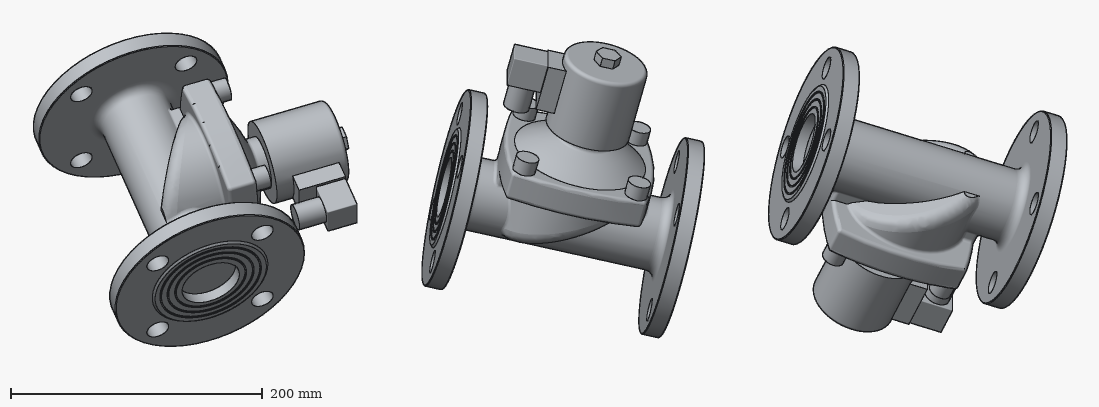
import cadquery as cq
import math


total_length = 195.0
total_depth = 228.2
pipe_radius = 29.5
flange_diameter = 160.0
flange_radius = flange_diameter / 2
flange_thickness = 14.2
flange_edge_chamfer = 0.7
neck_fillet = 8.0
raised_face_height = 1.5
raised_face_base_radius = 48.8
raised_face_tip_radius = 47.0
port_radius = 24.2
port_depth = 9.1
groove_radii = (29.7, 36.0, 42.2)
groove_width = 1.1
groove_depth = 0.7
flange_hole_radius = 9.1
flange_hole_spacing = 88.3

plate_bottom = 30.5
plate_top = 54.5
plate_corner = 54.8
plate_bulge = 61.5
plate_corner_fillet = 2.7
plate_edge_fillet = 3.2

body_radius = 53.6
body_lowest = -18.5
slant_angle = 30.8
slant_height_at_axis = 0.8
body_rim_fillet = 10.0

rib_half_width = 20.0
rib_corner_fillet = 2.7

joint_fillet = 2.5
rib_blend_start = 45.6
body_blend_start = 41.0

bonnet_mid_radius = 36.5
bonnet_mid_height = 64.0
bonnet_top = 69.6
bonnet_neck_radius = 21.5
bonnet_neck_fillet = 2.5
coil_radius = 34.0
coil_bottom = 79.0
coil_top = 140.5
coil_edge_fillet = 3.2
nut_across_corners = 20.5
nut_top = total_depth - flange_radius

bolt_radius = 9.1
bolt_spacing = 91.5
bolt_top = 66.5

connector_top = 132.5
base_end = 45.6
base_bottom = 93.4
base_half_width = 14.4
plug_end = 73.3
plug_bottom = 107.7
plug_half_width = 12.5
plug_edge_fillet = 0.7
gland_centre = 59.8
gland_radius = 10.5
gland_bottom = 85.0

plate_inside = plate_bottom + plate_edge_fillet

select_margin = 0.11

half_length = total_length / 2
flange_face = half_length - raised_face_height
flange_back = flange_face - flange_thickness


def box(x0, x1, y0, y1, half_width):
    """Block centred on Z = 0 between the given X and Y limits."""
    return (
        cq.Workplane("XY", origin=(0, 0, -half_width))
        .moveTo(x0, y0)
        .lineTo(x1, y0)
        .lineTo(x1, y1)
        .lineTo(x0, y1)
        .close()
        .extrude(2 * half_width)
    )


def upright(y0):
    """Plane at height y0 that extrudes towards +Y; its local y axis is -Z."""
    return cq.Workplane("XZ", origin=(0, y0, 0)).transformed(rotate=(180, 0, 0))


def upright_cylinder(radius, y0, y1, x=0, z=0):
    return upright(y0).center(x, z).circle(radius).extrude(y1 - y0)


def make_plate_outline(y0, y1):
    """Upright square prism with four bulging sides."""
    c = plate_corner
    b = plate_bulge
    return (
        upright(y0)
        .moveTo(-c, -c)
        .threePointArc((0, -b), (c, -c))
        .threePointArc((b, 0), (c, c))
        .threePointArc((0, b), (-c, c))
        .threePointArc((-b, 0), (-c, -c))
        .close()
        .extrude(y1 - y0)
    )


def make_pipe():
    """Right half of the pipe with its flange, revolved about X and mirrored."""
    fillet_start = flange_back - neck_fillet
    fillet_end_radius = pipe_radius + neck_fillet
    fillet_reach = neck_fillet * math.sin(math.radians(45))
    half = (
        cq.Workplane("XY")
        .lineTo(0, pipe_radius)
        .lineTo(fillet_start, pipe_radius)
        .threePointArc(
            (fillet_start + fillet_reach, fillet_end_radius - fillet_reach),
            (flange_back, fillet_end_radius),
        )
        .lineTo(flange_back, flange_radius - flange_edge_chamfer)
        .lineTo(flange_back + flange_edge_chamfer, flange_radius)
        .lineTo(flange_face - flange_edge_chamfer, flange_radius)
        .lineTo(flange_face, flange_radius - flange_edge_chamfer)
        .lineTo(flange_face, raised_face_base_radius)
        .lineTo(half_length, raised_face_tip_radius)
        .lineTo(half_length, 0)
        .close()
        .revolve(360, (0, 0, 0), (1, 0, 0))
    )
    return half.union(half.mirror("YZ"))


def make_flange_cuts():
    """Blind port, sealing grooves and four bolt holes of both flanges."""
    face = cq.Workplane("YZ", origin=(half_length, 0, 0))
    cuts = face.circle(port_radius).extrude(-port_depth)
    for radius in groove_radii:
        groove = face.circle(radius + groove_width / 2).circle(radius - groove_width / 2)
        cuts = cuts.union(groove.extrude(-groove_depth))
    holes = (
        cq.Workplane("YZ", origin=(flange_back, 0, 0))
        .rect(flange_hole_spacing, flange_hole_spacing, forConstruction=True)
        .vertices()
        .circle(flange_hole_radius)
        .extrude(flange_thickness)
    )
    cuts = cuts.union(holes)
    return cuts.union(cuts.mirror("YZ"))


def make_plate():
    plate = make_plate_outline(plate_bottom, plate_top)
    plate = plate.edges("|Y").fillet(plate_corner_fillet)
    return plate.faces("<Y or >Y").edges().fillet(plate_edge_fillet)


def above_slant():
    """Large half-space block lying above the slanted plane."""
    size = 4 * body_radius
    return (
        cq.Workplane("XY")
        .box(size, size, size, centered=(True, False, True))
        .rotate((0, 0, 0), (0, 0, 1), -slant_angle)
        .translate((0, slant_height_at_axis, 0))
    )


def make_body():
    """Cylinder with a slanted, rounded lower end and a flat cut at its lowest point."""
    middle_of_plate = (plate_bottom + plate_top) / 2
    body = upright_cylinder(body_radius, -2 * body_radius, middle_of_plate)
    body = body.intersect(above_slant())
    body = body.faces("<Y").edges().fillet(body_rim_fillet)
    return body.intersect(upright_cylinder(2 * body_radius, body_lowest, plate_top))


def make_rib():
    rib = make_plate_outline(0, plate_inside)
    rib = rib.intersect(box(-plate_bulge, plate_bulge, 0, plate_top, rib_half_width))
    return rib.edges("|Y").fillet(rib_corner_fillet)


def make_bonnet():
    """Slightly domed cone that narrows into the neck below the coil."""
    bonnet = (
        cq.Workplane("XY")
        .moveTo(0, plate_inside)
        .lineTo(body_radius, plate_inside)
        .lineTo(body_radius, plate_top)
        .threePointArc((bonnet_mid_radius, bonnet_mid_height), (bonnet_neck_radius, bonnet_top))
        .lineTo(bonnet_neck_radius, coil_bottom)
        .lineTo(0, coil_bottom)
        .close()
        .revolve(360, (0, 0, 0), (0, 1, 0))
    )
    neck_root = cq.selectors.BoxSelector(
        (-body_radius, bonnet_top - select_margin, -body_radius),
        (body_radius, bonnet_top + select_margin, body_radius),
    )
    return bonnet.edges(neck_root).fillet(bonnet_neck_fillet)


def make_coil():
    coil = upright_cylinder(coil_radius, coil_bottom, coil_top)
    coil = coil.faces(">Y").edges().fillet(coil_edge_fillet)
    nut = upright(coil_top).polygon(6, nut_across_corners).extrude(nut_top - coil_top)
    return coil.union(nut)


def make_bolts():
    return (
        upright(plate_inside)
        .rect(bolt_spacing, bolt_spacing, forConstruction=True)
        .vertices()
        .circle(bolt_radius)
        .extrude(bolt_top - plate_inside)
    )


def make_connector():
    base = box(0, base_end, base_bottom, connector_top, base_half_width)
    plug = box(base_end, plug_end, plug_bottom, connector_top, plug_half_width)
    plug = plug.edges().fillet(plug_edge_fillet)
    gland = upright_cylinder(gland_radius, gland_bottom, plug_bottom, x=gland_centre)
    return base.union(plug).union(gland)


def span(x0, x1, y0, y1, half_width):
    """Selects edges whose centre lies between the given limits."""
    return cq.selectors.BoxSelector((x0, y0, -half_width), (x1, y1, half_width))


def blend_joints(valve):
    """Round the inner corners where the body and the rib meet the pipe and the plate."""
    upright_edges = cq.selectors.ParallelDirSelector(cq.Vector(0, 1, 0))
    rib_top = plate_bottom - joint_fillet
    left_rib_on_pipe = span(-plate_bulge, -rib_blend_start, 0, rib_top, pipe_radius) - upright_edges
    right_side_on_pipe = span(body_blend_start, plate_bulge, body_lowest, rib_top, pipe_radius) - upright_edges
    rib_on_body = span(body_blend_start, body_radius, 0, rib_top, pipe_radius)
    under_plate = span(
        -rib_blend_start,
        body_radius,
        plate_bottom - select_margin,
        plate_bottom + select_margin,
        body_radius,
    )
    joints = left_rib_on_pipe + right_side_on_pipe + rib_on_body + under_plate
    return valve.edges(joints).fillet(joint_fillet)


result = make_pipe().union(make_plate()).union(make_body()).union(make_rib())
result = blend_joints(result)
result = result.union(make_bonnet()).union(make_bolts())
result = result.union(make_coil()).union(make_connector())
result = result.cut(make_flange_cuts())